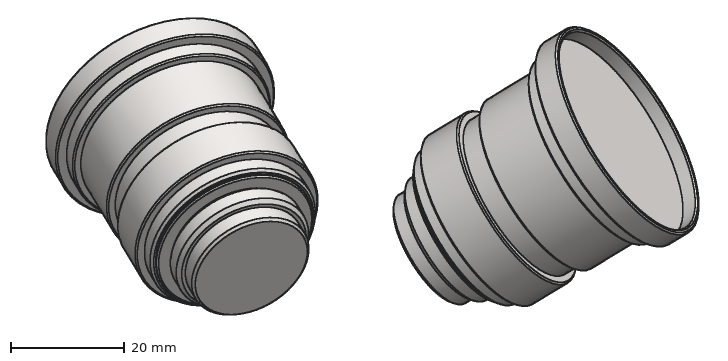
import cadquery as cq


rim_end = 5.0
collar_end = 8.0
barrel_end = 20.0
groove_end = 24.5
ring_end = 33.0
rear_end = 36.0
mount_face = 36.65
relief_end = 37.25
thread_end = mount_face + 4.0
total_length = 44.0

rim_radius = 21.0
collar_radius = 19.0
barrel_radius = 17.55
groove_radius = 16.0
rear_radius = 15.875
mount_radius = 15.0
relief_radius = 12.3
thread_radius = 12.7
tail_radius = 11.25

recess_radius = 20.0
recess_depth = 3.0

edge_chamfer = 0.3
rear_chamfer = 0.5
thread_chamfer = 0.75
tail_chamfer = 0.5


def step(start, end, radius, front_chamfer=0.0, back_chamfer=0.0):
    """Solid disc from x = start to x = end, with optional chamfers on its two rims."""
    disc = cq.Workplane("YZ", origin=(start, 0, 0)).circle(radius).extrude(end - start)
    if front_chamfer:
        disc = disc.faces("<X").edges().chamfer(front_chamfer)
    if back_chamfer:
        disc = disc.faces(">X").edges().chamfer(back_chamfer)
    return disc


def make_body():
    """Barrel from the front rim to the tail, one disc per step."""
    steps = [
        step(0, rim_end, rim_radius, edge_chamfer, edge_chamfer),
        step(rim_end, collar_end, collar_radius, 0, edge_chamfer),
        step(collar_end, barrel_end, barrel_radius, 0, edge_chamfer),
        step(barrel_end, groove_end, groove_radius),
        step(groove_end, ring_end, barrel_radius, edge_chamfer, edge_chamfer),
        step(ring_end, rear_end, rear_radius, 0, rear_chamfer),
        step(rear_end, mount_face, mount_radius, 0, edge_chamfer),
        step(mount_face, relief_end, relief_radius),
        step(relief_end, thread_end, thread_radius, 0, thread_chamfer),
        step(thread_end, total_length, tail_radius, 0, tail_chamfer),
    ]
    body = steps[0]
    for disc in steps[1:]:
        body = body.union(disc)
    return body


def make_recess():
    """Shallow round pocket in the front face, flared by a chamfer at its mouth."""
    pocket = step(0, recess_depth, recess_radius)
    flare = (
        cq.Workplane("YZ")
        .circle(recess_radius + edge_chamfer)
        .workplane(offset=edge_chamfer)
        .circle(recess_radius)
        .loft()
    )
    return pocket.union(flare)


result = make_body().cut(make_recess())